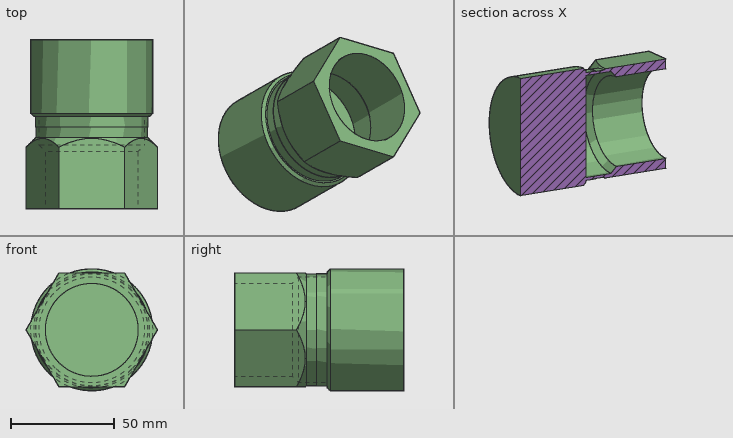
import cadquery as cq
import math

total_length = 81.7
hex_length = 34.6
neck_end = 39.6
collar_end = 44.7

across_flats = 55.0
across_corners = across_flats / math.cos(math.pi / 6)

neck_diameter = 54.0
collar_diameter = 54.4
sleeve_diameter = 59.0
sleeve_chamfer = 1.5

bore_diameter = 44.84
chamber_diameter = 51.0
flare_end = 30.9
flare_start = flare_end - (chamber_diameter - bore_diameter) / 2
chamber_end = collar_end


def cylinder(diameter, start, end):
    """Cylinder on the Y axis between two Y positions."""
    plane = cq.Workplane("XZ", origin=(0, start, 0))
    return plane.circle(diameter / 2).extrude(start - end)


def hex_nut():
    """Hexagon with its corners on X and a 45 degree cone at the neck end."""
    prism = cq.Workplane("XZ").polygon(6, across_corners).extrude(-hex_length)
    corner_radius = across_corners / 2
    cone_length = corner_radius - neck_diameter / 2
    cone_envelope = cylinder(across_corners, 0, hex_length).faces(">Y").chamfer(cone_length)
    return prism.intersect(cone_envelope)


def sleeve():
    """Large cylinder with its edge next to the collar chamfered."""
    return cylinder(sleeve_diameter, collar_end, total_length).faces("<Y").chamfer(sleeve_chamfer)


def bore():
    """Blind bore, revolved about the Y axis from its half section."""
    half_section = (
        cq.Workplane("XY")
        .lineTo(bore_diameter / 2, 0)
        .lineTo(bore_diameter / 2, flare_start)
        .lineTo(chamber_diameter / 2, flare_end)
        .lineTo(chamber_diameter / 2, chamber_end)
        .lineTo(0, chamber_end)
        .close()
    )
    return half_section.revolve(360, (0, 0, 0), (0, 1, 0))


neck = cylinder(neck_diameter, hex_length, neck_end)
collar = cylinder(collar_diameter, neck_end, collar_end)

result = hex_nut().union(neck).union(collar).union(sleeve()).cut(bore())